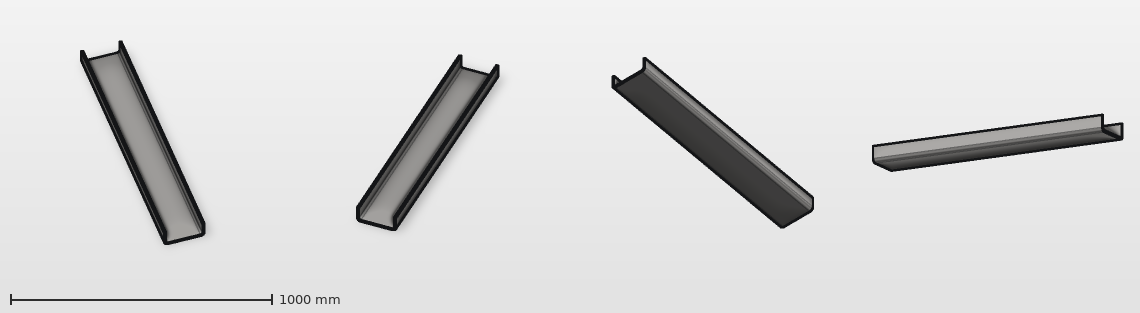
import cadquery as cq

LENGTH = 1000.0
WIDTH = 162.0
HEIGHT = 65.0
WALL = 8.0
INNER_BEND_RADIUS = 8.0
OUTER_BEND_RADIUS = INNER_BEND_RADIUS + WALL


def rounded_trough(width, floor_height, bend_radius):
    """Full-length block from floor_height to HEIGHT with rounded lower long edges."""
    block_height = HEIGHT - floor_height
    return (
        cq.Workplane("XY")
        .workplane(offset=floor_height)
        .box(LENGTH, width, block_height, centered=(True, True, False))
        .edges("|X and <Z")
        .fillet(bend_radius)
    )


outer_body = rounded_trough(WIDTH, 0.0, OUTER_BEND_RADIUS)
inner_space = rounded_trough(WIDTH - 2 * WALL, WALL, INNER_BEND_RADIUS)

result = outer_body.cut(inner_space)